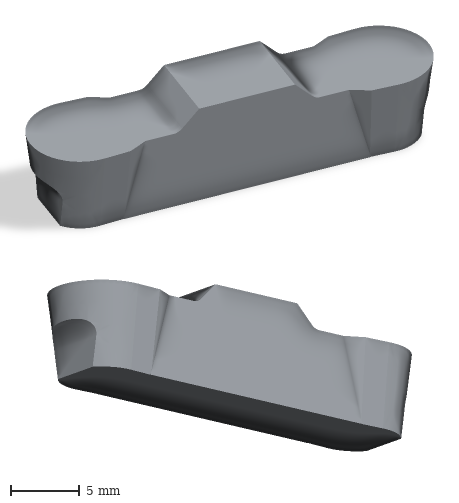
import cadquery as cq
import math

LENGTH = 32.0
HEIGHT = 8.05
HEAD_HEIGHT = 6.4

BAR_WIDTH = 6.27
PAD_TOP_LENGTH = 7.68
PAD_FILLET = 0.95

HEAD_RADIUS = 4.0
HEAD_DRAFT = 7.0
FLANK_ANGLE = 3.0
FLANK_END_Y = 9.65
SHOULDER_ANGLE = 26.5

NOTCH_FACE_Y = 14.5
NOTCH_STRAIGHT_HEIGHT = 2.35
NOTCH_RADIUS = 1.4

BAR_HALF_LENGTH = 9.92


def make_bar():
    """Straight bar with a 45 degree raised pad, blended at the foot of each slope."""
    pad_half = PAD_TOP_LENGTH / 2
    foot_y = pad_half + HEIGHT - HEAD_HEIGHT
    bar = (
        cq.Workplane("YZ")
        .moveTo(-BAR_HALF_LENGTH, 0)
        .lineTo(BAR_HALF_LENGTH, 0)
        .lineTo(BAR_HALF_LENGTH, HEAD_HEIGHT)
        .lineTo(foot_y, HEAD_HEIGHT)
        .lineTo(pad_half, HEIGHT)
        .lineTo(-pad_half, HEIGHT)
        .lineTo(-foot_y, HEAD_HEIGHT)
        .lineTo(-BAR_HALF_LENGTH, HEAD_HEIGHT)
        .close()
        .extrude(BAR_WIDTH / 2, both=True)
    )
    for foot in (-foot_y, foot_y):
        foot_edge = cq.selectors.NearestToPointSelector((0, foot, HEAD_HEIGHT))
        bar = bar.edges(foot_edge).fillet(PAD_FILLET)
    return bar


def make_head():
    """Drafted round head at the +Y end, with its relief notch."""
    center_y = LENGTH / 2 - HEAD_RADIUS
    flank = math.radians(FLANK_ANGLE)
    tangent_x = HEAD_RADIUS * math.cos(flank)
    tangent_y = center_y - HEAD_RADIUS * math.sin(flank)
    flank_end_x = tangent_x - (tangent_y - FLANK_END_Y) * math.tan(flank)
    apex_y = FLANK_END_Y - flank_end_x / math.tan(math.radians(SHOULDER_ANGLE))
    head = (
        cq.Workplane("XY", origin=(0, 0, HEAD_HEIGHT))
        .moveTo(0, apex_y)
        .lineTo(flank_end_x, FLANK_END_Y)
        .lineTo(tangent_x, tangent_y)
        .threePointArc((0, LENGTH / 2), (-tangent_x, tangent_y))
        .lineTo(-flank_end_x, FLANK_END_Y)
        .close()
        .extrude(-HEAD_HEIGHT, taper=HEAD_DRAFT)
    )
    return head.cut(make_notch())


def make_notch():
    """Cutter for the relief: an upright face that curves outward into the nose."""
    arc_center_y = NOTCH_FACE_Y + NOTCH_RADIUS
    notch_top = NOTCH_STRAIGHT_HEIGHT + NOTCH_RADIUS
    arc_reach = NOTCH_RADIUS * math.sqrt(0.5)
    arc_middle = (arc_center_y - arc_reach, NOTCH_STRAIGHT_HEIGHT + arc_reach)
    return (
        cq.Workplane("YZ")
        .moveTo(NOTCH_FACE_Y, 0)
        .lineTo(NOTCH_FACE_Y, NOTCH_STRAIGHT_HEIGHT)
        .threePointArc(arc_middle, (arc_center_y, notch_top))
        .lineTo(LENGTH / 2, notch_top)
        .lineTo(LENGTH / 2, 0)
        .close()
        .extrude(HEAD_RADIUS, both=True)
    )


head = make_head()
result = make_bar().union(head).union(head.mirror("XZ"))